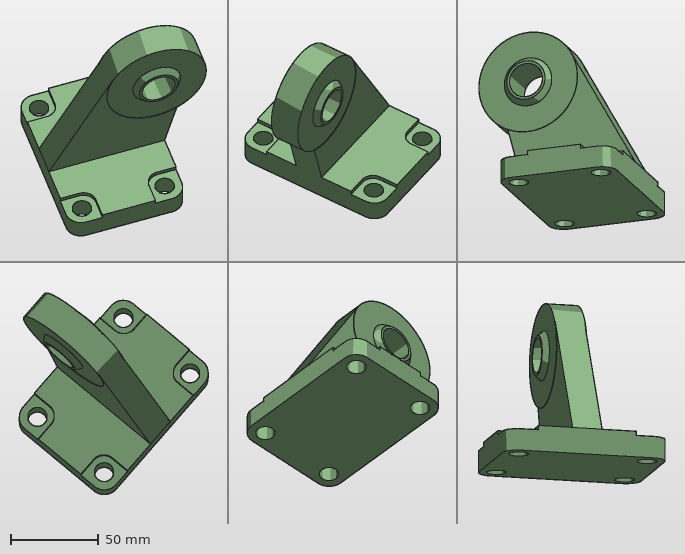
import cadquery as cq
import math

base_length = 96.0
base_depth = 70.0
base_height = 15.0
corner_radius = 9.0

hole_diameter = 11.0
hole_spacing_x = 76.0
hole_spacing_y = 50.0
seat_size = 19.0
seat_radius = 7.5
seat_depth = 2.4

overall_depth = 95.0
overall_height = 101.0
eye_diameter = 60.0
eye_width = 18.2
eye_radius = eye_diameter / 2
eye_y = overall_depth - eye_radius
eye_z = overall_height - eye_radius

ball_radius = 17.1
ball_width = 25.0
bore_diameter = 20.0

arm_width = 17.5
arm_back_angle = 14.7


def make_base():
    """Rounded plate with a through hole and a sunken seat at each corner."""
    plate = (
        cq.Workplane("XY")
        .box(base_length, base_depth, base_height, centered=(True, False, False))
        .edges("|Z")
        .fillet(corner_radius)
    )
    seat_side = 2 * seat_size
    for x_side in (-1, 1):
        for y_side in (-1, 1):
            seat = (
                cq.Workplane("XY", origin=(0, 0, base_height - seat_depth))
                .center(x_side * base_length / 2, base_depth / 2 * (1 + y_side))
                .rect(seat_side, seat_side)
                .extrude(seat_depth)
                .edges("|Z")
                .fillet(seat_radius)
            )
            plate = plate.cut(seat)
    holes = (
        cq.Workplane("XY")
        .center(0, base_depth / 2)
        .rect(hole_spacing_x, hole_spacing_y, forConstruction=True)
        .vertices()
        .circle(hole_diameter / 2)
        .extrude(base_height)
    )
    return plate.cut(holes)


def make_arm():
    """Leaning web whose front face is tangent to the eye."""
    rise = eye_z - base_height
    centre_distance = math.hypot(eye_y, rise)
    tangent_angle = math.atan2(rise, eye_y) + math.asin(eye_radius / centre_distance)
    tangent_y = eye_y - eye_radius * math.sin(tangent_angle)
    tangent_z = eye_z + eye_radius * math.cos(tangent_angle)
    back_y = base_depth + rise * math.tan(math.radians(arm_back_angle))
    return (
        cq.Workplane("YZ", origin=(-arm_width / 2, 0, 0))
        .moveTo(0, base_height)
        .lineTo(tangent_y, tangent_z)
        .lineTo(eye_y, eye_z)
        .lineTo(back_y, eye_z)
        .lineTo(base_depth, base_height)
        .close()
        .extrude(arm_width)
    )


def eye_cylinder(diameter, width):
    """Cylinder on the eye axis, centred on the middle plane."""
    return (
        cq.Workplane("YZ", origin=(-width / 2, eye_y, eye_z))
        .circle(diameter / 2)
        .extrude(width)
    )


def make_ball():
    """Sphere cut flat on both sides, revolved about the eye axis."""
    half_width = ball_width / 2
    flat_radius = math.sqrt(ball_radius**2 - half_width**2)
    return (
        cq.Workplane("XY", origin=(0, eye_y, eye_z))
        .moveTo(-half_width, 0)
        .lineTo(-half_width, flat_radius)
        .threePointArc((0, ball_radius), (half_width, flat_radius))
        .lineTo(half_width, 0)
        .close()
        .revolve(360, (0, 0, 0), (1, 0, 0))
    )


eye = eye_cylinder(eye_diameter, eye_width)
bore = eye_cylinder(bore_diameter, ball_width)
result = make_base().union(make_arm()).union(eye).union(make_ball()).cut(bore)